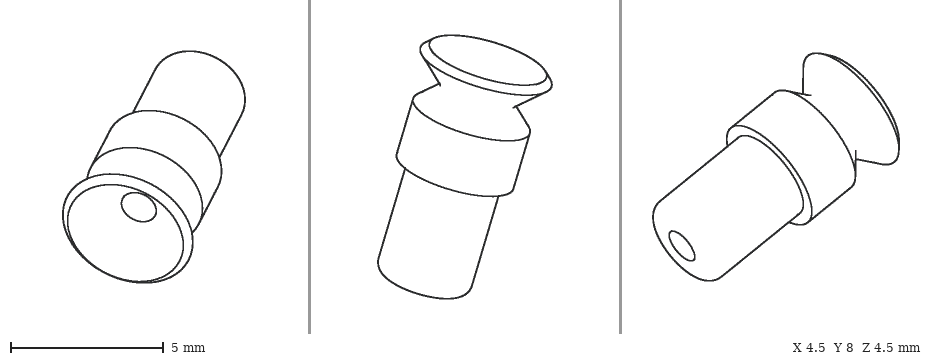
import cadquery as cq

length = 8.0
shank_radius = 3.2 / 2
shank_length = 4.0
shank_round = 0.4
collar_radius = 4.0 / 2
collar_length = 2.0
lip_mouth_radius = 4.0 / 2
lip_bevel = 0.25
neck_fillet = 0.1
bore_radius = 1.2 / 2

shoulder_y = length - shank_length
collar_front_y = shoulder_y - collar_length
lip_radius = lip_mouth_radius + lip_bevel
lip_edge_y = lip_bevel
neck_radius = (collar_radius + lip_radius - (collar_front_y - lip_edge_y)) / 2
neck_y = lip_edge_y + lip_radius - neck_radius
cup_depth = lip_mouth_radius - bore_radius


def make_neck_selector():
    """Box around the sharp circular edge at the narrowest point of the neck."""
    reach = lip_radius
    half_band = neck_fillet
    return cq.selectors.BoxSelector(
        (-reach, neck_y - half_band, -reach),
        (reach, neck_y + half_band, reach),
    )


def make_outer_body():
    """Solid turned body: lip, neck, collar and shank."""
    body = (
        cq.Workplane("XY")
        .moveTo(0, 0)
        .lineTo(lip_mouth_radius, 0)
        .lineTo(lip_radius, lip_edge_y)
        .lineTo(neck_radius, neck_y)
        .lineTo(collar_radius, collar_front_y)
        .lineTo(collar_radius, shoulder_y)
        .lineTo(shank_radius, shoulder_y)
        .lineTo(shank_radius, length)
        .lineTo(0, length)
        .close()
        .revolve(360, (0, 0, 0), (0, 1, 0))
    )
    body = body.faces(">Y").edges().fillet(shank_round)
    return body.edges(make_neck_selector()).edges("%CIRCLE").fillet(neck_fillet)


def make_inner_cavity():
    """Conical suction cup leading into a straight through bore."""
    return (
        cq.Workplane("XY")
        .moveTo(0, 0)
        .lineTo(lip_mouth_radius, 0)
        .lineTo(bore_radius, cup_depth)
        .lineTo(bore_radius, length)
        .lineTo(0, length)
        .close()
        .revolve(360, (0, 0, 0), (0, 1, 0))
    )


result = make_outer_body().cut(make_inner_cavity())